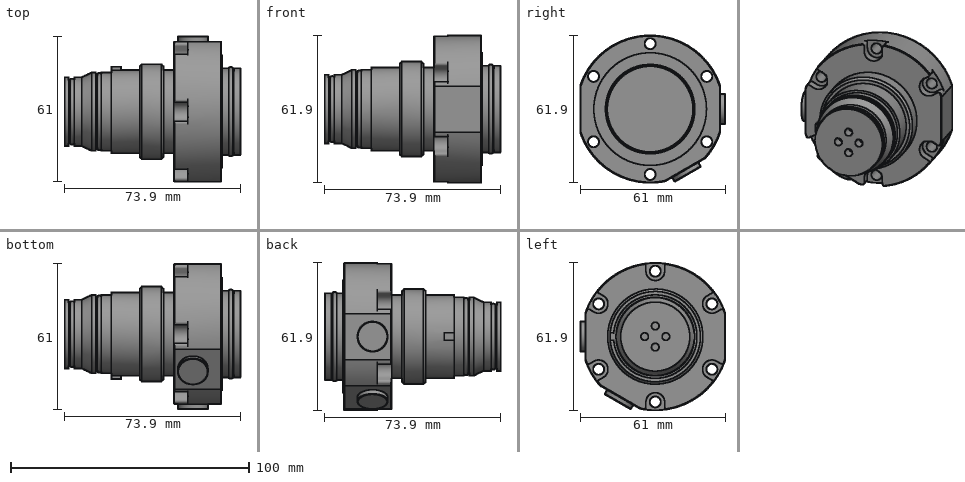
import cadquery as cq
import math

LENGTH = 73.9

RING_EMBED_DEPTH = 0.75

TIP_DIA = 29.0
TIP_GROOVE_DIA = 26.6
TIP_GROOVE_START = 1.7
TIP_GROOVE_END = 4.1
TIP_RING_LENGTH = 1.8
TIP_RING_DIA = 27.8
CONE_START = 7.25
CONE_END = 11.45
SHOULDER_DIA = 33.0
SHOULDER_GROOVE_DIA = 30.6
SHOULDER_GROOVE_START = 13.15
SHOULDER_GROOVE_END = 15.45
SHOULDER_RING_LENGTH = 1.7
SHOULDER_RING_DIA = 32.5

BODY_START = 19.6
BODY_DIA = 35.0
COLLAR_START = 31.4
COLLAR_END = 41.5
COLLAR_DIA = 40.0
COLLAR_CHAMFER = 1.0

KEY_LENGTH = 4.15
KEY_WIDTH = 3.1
KEY_TOP = 18.9

FLANGE_START = 45.8
FLANGE_END = 65.8
FLANGE_DIA = 61.9
FLANGE_CHAMFER = 0.3
FLAT_DISTANCE = 29.4

BOLT_COUNT = 6
BOLT_CIRCLE_RADIUS = 27.4
BOLT_HOLE_DIA = 4.5
RECESS_WIDTH = 7.8
RECESS_DEPTH = 5.9
RECESS_LIP_RADIUS = 1.0

PLUG_DIA = 12.7
PLUG_TOP = 31.55
PLUG_CENTER_X = 53.8
PLUG_CHAMFER = 0.2
PLUG_EMBED_DEPTH = 0.75

PAD_END = 66.2
PAD_DIA = 47.3
SPIGOT_DIA = 36.5
SPIGOT_GROOVE_DIA = 34.2
SPIGOT_GROOVE_START = 68.8
SPIGOT_GROOVE_END = 71.0
SPIGOT_RING_LENGTH = 1.8
SPIGOT_RING_DIA = 37.55
SPIGOT_CHAMFER = 0.3

SOCKET_COUNT = 4
SOCKET_DIA = 3.2
SOCKET_CIRCLE_RADIUS = 4.4
SOCKET_DEPTH = 7.4

PLUG_FLAT_ANGLES = (0, -60)
FLAT_ANGLES = PLUG_FLAT_ANGLES + (180,)


def cylinder(x_start, x_end, diameter):
    return cq.Workplane("YZ", origin=(x_start, 0, 0)).circle(diameter / 2).extrude(x_end - x_start)


def ring(x_start, length, root_dia, outer_dia):
    """Sealing ring with a domed outer surface, seated on a groove floor."""
    dome_height = length / 4
    side_radius = outer_dia / 2 - dome_height
    inner_radius = root_dia / 2 - RING_EMBED_DEPTH
    profile = (
        cq.Workplane("XY")
        .moveTo(x_start, inner_radius)
        .lineTo(x_start, side_radius)
        .threePointArc((x_start + length / 2, outer_dia / 2), (x_start + length, side_radius))
        .lineTo(x_start + length, inner_radius)
        .close()
    )
    return profile.revolve(360, (0, 0, 0), (1, 0, 0))


def make_nose():
    cone = (
        cq.Workplane("XY")
        .moveTo(CONE_START, 0)
        .lineTo(CONE_START, TIP_DIA / 2)
        .lineTo(CONE_END, SHOULDER_DIA / 2)
        .lineTo(CONE_END, 0)
        .close()
        .revolve(360, (0, 0, 0), (1, 0, 0))
    )
    return (
        cylinder(0, TIP_GROOVE_START, TIP_DIA)
        .union(cylinder(TIP_GROOVE_START, TIP_GROOVE_END, TIP_GROOVE_DIA))
        .union(cylinder(TIP_GROOVE_END, CONE_START, TIP_DIA))
        .union(cone)
        .union(cylinder(CONE_END, SHOULDER_GROOVE_START, SHOULDER_DIA))
        .union(cylinder(SHOULDER_GROOVE_START, SHOULDER_GROOVE_END, SHOULDER_GROOVE_DIA))
        .union(cylinder(SHOULDER_GROOVE_END, BODY_START, SHOULDER_DIA))
        .union(ring(TIP_GROOVE_END - TIP_RING_LENGTH, TIP_RING_LENGTH, TIP_GROOVE_DIA, TIP_RING_DIA))
        .union(
            ring(
                SHOULDER_GROOVE_END - SHOULDER_RING_LENGTH,
                SHOULDER_RING_LENGTH,
                SHOULDER_GROOVE_DIA,
                SHOULDER_RING_DIA,
            )
        )
    )


def make_body():
    collar = cylinder(COLLAR_START, COLLAR_END, COLLAR_DIA).edges().chamfer(COLLAR_CHAMFER)
    key = cq.Workplane("XY").box(KEY_LENGTH, KEY_TOP, KEY_WIDTH, centered=(False, False, True))
    key = key.translate((BODY_START, 0, 0))
    return cylinder(BODY_START, FLANGE_START, BODY_DIA).union(collar).union(key)


def make_spigot():
    tail = cylinder(SPIGOT_GROOVE_END, LENGTH, SPIGOT_DIA).faces(">X").edges().chamfer(SPIGOT_CHAMFER)
    return (
        cylinder(FLANGE_END, PAD_END, PAD_DIA)
        .union(cylinder(PAD_END, SPIGOT_GROOVE_START, SPIGOT_DIA))
        .union(cylinder(SPIGOT_GROOVE_START, SPIGOT_GROOVE_END, SPIGOT_GROOVE_DIA))
        .union(tail)
        .union(ring(SPIGOT_GROOVE_START, SPIGOT_RING_LENGTH, SPIGOT_GROOVE_DIA, SPIGOT_RING_DIA))
    )


def make_recess():
    """Cutter for the recess on the +Y side: round inner end, rounded lips at the rim."""
    half_width = RECESS_WIDTH / 2
    rim_radius = FLANGE_DIA / 2
    lip_center_z = half_width + RECESS_LIP_RADIUS
    lip_center_y = math.sqrt((rim_radius - RECESS_LIP_RADIUS) ** 2 - lip_center_z**2)
    lip_angle = math.atan2(lip_center_z, lip_center_y)
    rim_y = rim_radius * math.cos(lip_angle)
    rim_z = rim_radius * math.sin(lip_angle)
    mid_angle = (lip_angle - math.pi / 2) / 2
    mid_y = lip_center_y + RECESS_LIP_RADIUS * math.cos(mid_angle)
    mid_z = lip_center_z + RECESS_LIP_RADIUS * math.sin(mid_angle)
    outside_y = rim_radius + RECESS_LIP_RADIUS
    return (
        cq.Workplane("YZ", origin=(FLANGE_START, 0, 0))
        .moveTo(BOLT_CIRCLE_RADIUS, half_width)
        .lineTo(lip_center_y, half_width)
        .threePointArc((mid_y, mid_z), (rim_y, rim_z))
        .lineTo(outside_y, rim_z)
        .lineTo(outside_y, -rim_z)
        .lineTo(rim_y, -rim_z)
        .threePointArc((mid_y, -mid_z), (lip_center_y, -half_width))
        .lineTo(BOLT_CIRCLE_RADIUS, -half_width)
        .threePointArc((BOLT_CIRCLE_RADIUS - half_width, 0), (BOLT_CIRCLE_RADIUS, half_width))
        .close()
        .extrude(RECESS_DEPTH)
    )


def make_flange():
    flange = cylinder(FLANGE_START, FLANGE_END, FLANGE_DIA)
    for angle in FLAT_ANGLES:
        waste = cq.Workplane("XY").box(
            FLANGE_END - FLANGE_START, FLANGE_DIA, FLANGE_DIA, centered=(False, False, True)
        )
        waste = waste.translate((FLANGE_START, FLAT_DISTANCE, 0))
        flange = flange.cut(waste.rotate((0, 0, 0), (1, 0, 0), angle))
    flange = flange.faces("<X or >X").edges().chamfer(FLANGE_CHAMFER)

    bolt_hole = cylinder(FLANGE_START, FLANGE_END, BOLT_HOLE_DIA).translate((0, BOLT_CIRCLE_RADIUS, 0))
    bolt_cutter = make_recess().union(bolt_hole)
    for index in range(BOLT_COUNT):
        angle = 90 + index * 360 / BOLT_COUNT
        flange = flange.cut(bolt_cutter.rotate((0, 0, 0), (1, 0, 0), angle))
    return flange


def make_plug():
    """Plug on the +Y side, reaching inward to just below the flat."""
    height = PLUG_TOP - FLAT_DISTANCE + PLUG_EMBED_DEPTH
    plug = cq.Workplane("XY").circle(PLUG_DIA / 2).extrude(height)
    plug = plug.faces(">Z").edges().chamfer(PLUG_CHAMFER)
    plug = plug.rotate((0, 0, 0), (1, 0, 0), -90)
    return plug.translate((PLUG_CENTER_X, FLAT_DISTANCE - PLUG_EMBED_DEPTH, 0))


def make_sockets():
    return (
        cq.Workplane("YZ")
        .polarArray(SOCKET_CIRCLE_RADIUS, 0, 360, SOCKET_COUNT)
        .circle(SOCKET_DIA / 2)
        .extrude(SOCKET_DEPTH)
    )


result = make_nose().union(make_body()).union(make_flange()).union(make_spigot())
for plug_angle in PLUG_FLAT_ANGLES:
    result = result.union(make_plug().rotate((0, 0, 0), (1, 0, 0), plug_angle))
result = result.cut(make_sockets())